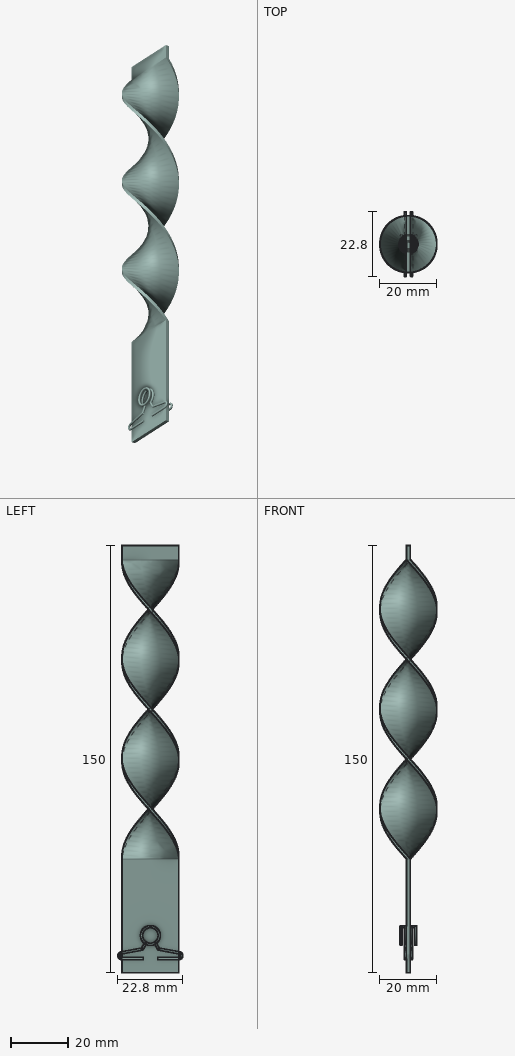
import cadquery as cq
import math

BLADE_WIDTH = 20.0
BLADE_THICKNESS = 1.4
BLADE_LENGTH = 150.0
TAIL_LENGTH = 40.0
TIP_LENGTH = 5.0
TWIST_LENGTH = BLADE_LENGTH - TAIL_LENGTH - TIP_LENGTH
TWIST_ANGLE = -540.0

WIRE_DIAMETER = 0.78
WIRE_RADIUS = WIRE_DIAMETER / 2
CLIP_SPAN = 22.8
CLIP_DEPTH = 2.25
INNER_COIL_X = BLADE_THICKNESS / 2 + WIRE_RADIUS
OUTER_COIL_X = BLADE_THICKNESS / 2 + CLIP_DEPTH - WIRE_RADIUS

COIL_RADIUS = 3.1
COIL_Z = 13.15
COIL_OPENING = 32.0

HAIRPIN_RADIUS = 1.0
HAIRPIN_Y = CLIP_SPAN / 2 - WIRE_RADIUS - HAIRPIN_RADIUS
LOWER_ARM_Z = 5.05
HAIRPIN_Z = LOWER_ARM_Z + HAIRPIN_RADIUS
LOWER_ARM_END_Y = 2.5
ARM_SLOPE = 10.5
ELBOW_Y = 2.9


def blade_stretch(bottom_z):
    """Blade cross-section placed at the given height."""
    return cq.Workplane("XY").workplane(offset=bottom_z).rect(BLADE_THICKNESS, BLADE_WIDTH)


def make_blade():
    """Flat tail, twisted middle and flat tip as one strip."""
    twist_top = TAIL_LENGTH + TWIST_LENGTH
    tail = blade_stretch(0).extrude(TAIL_LENGTH)
    twist = blade_stretch(TAIL_LENGTH).twistExtrude(TWIST_LENGTH, TWIST_ANGLE)
    tip = blade_stretch(twist_top).extrude(TIP_LENGTH)
    return tail.union(twist).union(tip)


def on_circle(center_y, center_z, radius, angle):
    """(Y, Z) of a point on a circle, with the angle in degrees from +Y towards +Z."""
    turn = math.radians(angle)
    return center_y + radius * math.cos(turn), center_z + radius * math.sin(turn)


def mirrored(point):
    """The same (Y, Z) point on the other side of the clip's middle plane."""
    return -point[0], point[1]


def make_bent_wire():
    """Inner coil with an elbow, a sloping arm and a hairpin on each side."""
    arm_start = (LOWER_ARM_END_Y, LOWER_ARM_Z)
    hairpin_start = (HAIRPIN_Y, LOWER_ARM_Z)
    hairpin_middle = (HAIRPIN_Y + HAIRPIN_RADIUS, HAIRPIN_Z)
    hairpin_end = on_circle(HAIRPIN_Y, HAIRPIN_Z, HAIRPIN_RADIUS, 90 - ARM_SLOPE)
    arm_rise = (hairpin_end[0] - ELBOW_Y) * math.tan(math.radians(ARM_SLOPE))
    elbow = (ELBOW_Y, hairpin_end[1] + arm_rise)
    coil_foot = on_circle(0, COIL_Z, COIL_RADIUS, COIL_OPENING - 90)
    coil_top = (0, COIL_Z + COIL_RADIUS)

    path = (
        cq.Workplane("YZ", origin=(INNER_COIL_X, 0, 0))
        .moveTo(*arm_start)
        .lineTo(*hairpin_start)
        .threePointArc(hairpin_middle, hairpin_end)
        .lineTo(*elbow)
        .lineTo(*coil_foot)
        .threePointArc(coil_top, mirrored(coil_foot))
        .lineTo(*mirrored(elbow))
        .lineTo(*mirrored(hairpin_end))
        .threePointArc(mirrored(hairpin_middle), mirrored(hairpin_start))
        .lineTo(*mirrored(arm_start))
    )
    return (
        cq.Workplane("XZ", origin=(INNER_COIL_X, LOWER_ARM_END_Y, LOWER_ARM_Z))
        .circle(WIRE_RADIUS)
        .sweep(path, transition="round")
    )


def make_outer_coil():
    """Closed turn of wire beside the inner coil."""
    center = cq.Vector(OUTER_COIL_X, 0, COIL_Z)
    return cq.Workplane(cq.Solid.makeTorus(COIL_RADIUS, WIRE_RADIUS, center, cq.Vector(1, 0, 0)))


def make_crossover():
    """Short piece of wire that joins the two coils at the top."""
    return (
        cq.Workplane("YZ", origin=(INNER_COIL_X, 0, 0))
        .center(0, COIL_Z + COIL_RADIUS)
        .circle(WIRE_RADIUS)
        .extrude(OUTER_COIL_X - INNER_COIL_X)
    )


def make_clip(side_angle):
    """Wire clip on the +X face of the tail, turned about Z to the wanted face."""
    clip = make_bent_wire().union(make_outer_coil()).union(make_crossover())
    return clip.rotate((0, 0, 0), (0, 0, 1), side_angle)


blade = make_blade()
clips = [make_clip(side_angle) for side_angle in (0, 180)]

result = cq.Compound.makeCompound([blade.val(), *[clip.val() for clip in clips]])